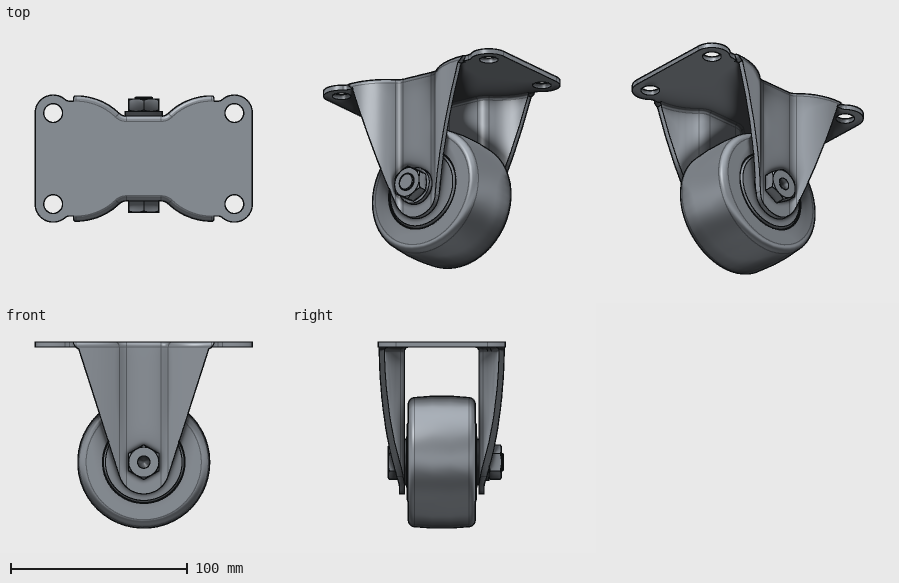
import cadquery as cq
import math


sheet = 3.0
plate_length = 123.0
plate_width = 72.0
corner_radius = 10.25
hole_x = plate_length / 2 - corner_radius
hole_y = plate_width / 2 - corner_radius
mount_hole_diameter = 10.5
notch_radius = 4.0

arm_inner_y = 21.0
arm_outer_y = arm_inner_y + sheet
flat_half_width = 9.85
wave_angle = math.radians(44)
valley_radius = 5.76
crest_x = 38.4
arm_end_x = 39.8
bend_inner_radius = 2.0
arm_tip_radius = 14.4
arm_tip_center_z = -71.6
taper_top_x = 36.8
taper_top_z = -4.0
flare_radius = 5.0

wheel_center_z = -68.0
wheel_radius = 37.5
crown_drop = 0.9
tread_half_width = 15.4
wheel_half_width = 19.0
side_face_radius = 32.6
shoulder_bulge = 1.05
groove_outer_radius = 23.4
groove_floor_radius = 22.9
groove_depth = 0.8
disc_radius = 21.7
disc_edge_y = 19.5
disc_hub_y = 19.85
hub_radius = 13.0

shank_diameter = 10.0
across_flats = 17.0
hex_chamfer_slope = math.tan(math.radians(30))
head_height = 6.4
washer_diameter = 21.0
washer_thickness = 2.7
nut_height = 7.1
thread_protrusion = 1.0
thread_chamfer = 0.5
center_hole_diameter = 7.0
center_hole_depth = 6.0
drill_half_angle = math.radians(59)


def rod(radius, start_y, end_y):
    """Cylinder on the axle line from start_y to end_y."""
    return (
        cq.Workplane("XZ", origin=(0, start_y, wheel_center_z))
        .circle(radius)
        .extrude(start_y - end_y)
    )


def wave_half(base_y, valley, crest):
    """Points of one half of the wavy arm line: flat end, valley middle, inflection, crest middle, crest."""
    sine = math.sin(wave_angle)
    cosine = math.cos(wave_angle)
    half_sine = math.sin(wave_angle / 2)
    half_cosine = math.cos(wave_angle / 2)
    crest_y = base_y + (valley + crest) * (1 - cosine)
    return [
        (flat_half_width, base_y),
        (flat_half_width + valley * half_sine, base_y + valley * (1 - half_cosine)),
        (flat_half_width + valley * sine, base_y + valley * (1 - cosine)),
        (crest_x - crest * half_sine, crest_y - crest * (1 - half_cosine)),
        (crest_x, crest_y),
    ]


outer_crest_radius = (crest_x - flat_half_width) / math.sin(wave_angle) - valley_radius
outer_wave = wave_half(arm_outer_y, valley_radius, outer_crest_radius)
inner_wave = wave_half(arm_inner_y, valley_radius + sheet, outer_crest_radius - sheet)


def mirror_x(point):
    return (-point[0], point[1])


def mirror_y(point):
    return (point[0], -point[1])


def draw_wave(sketch, wave):
    """Continue a sketch from the right-hand crest along the wave to the left-hand crest."""
    flat_end, valley_mid, inflection, crest_mid, crest = wave
    return (
        sketch.threePointArc(crest_mid, inflection)
        .threePointArc(valley_mid, flat_end)
        .lineTo(*mirror_x(flat_end))
        .threePointArc(mirror_x(valley_mid), mirror_x(inflection))
        .threePointArc(mirror_x(crest_mid), mirror_x(crest))
    )


def make_half_plate():
    """The +Y half of the mounting plate, ending at the start of the bend."""
    plate_end_x = plate_length / 2
    crest_y = inner_wave[-1][1]
    notch_y = crest_y + notch_radius
    center_distance = corner_radius + notch_radius
    notch_angle = math.asin((notch_y - hole_y) / center_distance)
    notch_x = hole_x - center_distance * math.cos(notch_angle)
    lobe_end = (
        hole_x - corner_radius * math.cos(notch_angle),
        hole_y + corner_radius * math.sin(notch_angle),
    )
    lobe_mid_angle = (math.pi - notch_angle) / 2
    lobe_mid = (
        hole_x + corner_radius * math.cos(lobe_mid_angle),
        hole_y + corner_radius * math.sin(lobe_mid_angle),
    )
    notch_mid_angle = (notch_angle + math.pi / 2) / 2
    notch_mid = (
        notch_x + notch_radius * math.cos(notch_mid_angle),
        notch_y - notch_radius * math.sin(notch_mid_angle),
    )
    notch_end = (notch_x, crest_y)
    sketch = (
        cq.Workplane("XY")
        .moveTo(-plate_end_x, 0)
        .lineTo(plate_end_x, 0)
        .lineTo(plate_end_x, hole_y)
        .threePointArc(lobe_mid, lobe_end)
        .threePointArc(notch_mid, notch_end)
        .lineTo(crest_x, crest_y)
    )
    return (
        draw_wave(sketch, inner_wave)
        .lineTo(*mirror_x(notch_end))
        .threePointArc(mirror_x(notch_mid), mirror_x(lobe_end))
        .threePointArc(mirror_x(lobe_mid), (-plate_end_x, hole_y))
        .close()
        .extrude(-sheet)
    )


def make_arm_blank():
    """Wavy upright wall of constant thickness, before its sides are tapered."""
    inner_crest = inner_wave[-1]
    outer_crest = outer_wave[-1]
    sketch = cq.Workplane("XY").moveTo(arm_end_x, outer_crest[1]).lineTo(*outer_crest)
    sketch = draw_wave(sketch, outer_wave)
    sketch = sketch.lineTo(-arm_end_x, outer_crest[1]).lineTo(-arm_end_x, inner_crest[1])
    flat_end, valley_mid, inflection, crest_mid, crest = inner_wave
    return (
        sketch.lineTo(*mirror_x(crest))
        .threePointArc(mirror_x(crest_mid), mirror_x(inflection))
        .threePointArc(mirror_x(valley_mid), mirror_x(flat_end))
        .lineTo(*flat_end)
        .threePointArc(valley_mid, inflection)
        .threePointArc(crest_mid, crest)
        .lineTo(arm_end_x, inner_crest[1])
        .close()
        .extrude(arm_tip_center_z - arm_tip_radius)
    )


def make_arm_envelope():
    """Tapered elevation of the arm: sides tangent to the round tip, with a rounded flare up to the plate."""
    rise = taper_top_z - arm_tip_center_z
    reach = math.hypot(taper_top_x, rise)
    tangent_angle = math.atan2(rise, taper_top_x) - math.acos(arm_tip_radius / reach)
    tangent = (
        arm_tip_radius * math.cos(tangent_angle),
        arm_tip_center_z + arm_tip_radius * math.sin(tangent_angle),
    )
    return (
        cq.Workplane("XZ")
        .moveTo(-arm_end_x, 0)
        .radiusArc((-taper_top_x, taper_top_z), -flare_radius)
        .lineTo(*mirror_x(tangent))
        .threePointArc((0, arm_tip_center_z - arm_tip_radius), tangent)
        .lineTo(taper_top_x, taper_top_z)
        .radiusArc((arm_end_x, 0), -flare_radius)
        .close()
        .extrude(-plate_width)
    )


def bend_zone(z):
    """Selector for the edges that follow the wavy arm line at one level."""
    margin = 0.1
    return cq.selectors.BoxSelector(
        (-arm_end_x + margin, arm_inner_y - margin, z - margin),
        (arm_end_x - margin, plate_width / 2 + margin, z + margin),
    )


def make_half_bracket():
    """The +Y half: plate and arm joined by a rounded bend, with the arm trimmed to its taper."""
    plate = make_half_plate()
    blank = plate.union(make_arm_blank())
    blank = blank.edges(bend_zone(0)).fillet(sheet)
    blank = blank.edges(bend_zone(-sheet)).fillet(bend_inner_radius)
    arm = blank.cut(plate).intersect(make_arm_envelope())
    return plate.union(arm)


def make_bracket():
    """Both halves joined, with the mounting holes and the axle holes."""
    half = make_half_bracket()
    bracket = half.union(half.mirror("XZ"))
    mount_holes = (
        cq.Workplane("XY")
        .rect(2 * hole_x, 2 * hole_y, forConstruction=True)
        .vertices()
        .circle(mount_hole_diameter / 2)
        .extrude(-sheet)
    )
    axle_holes = rod(shank_diameter / 2, -plate_width / 2, plate_width / 2)
    return bracket.cut(mount_holes).cut(axle_holes)


def make_wheel():
    """Crowned tread with rounded shoulders, dished sides and a hub that reaches the arms."""
    shoulder_radius = wheel_radius - crown_drop
    mid_offset = shoulder_bulge / math.sqrt(2)
    shoulder_mid = (
        (shoulder_radius + side_face_radius) / 2 + mid_offset,
        (tread_half_width + wheel_half_width) / 2 + mid_offset,
    )
    side = [
        (side_face_radius, wheel_half_width),
        (groove_outer_radius, wheel_half_width),
        (groove_outer_radius, wheel_half_width - groove_depth),
        (groove_floor_radius, wheel_half_width - groove_depth),
        (disc_radius, disc_edge_y),
        (hub_radius, disc_hub_y),
        (hub_radius, arm_inner_y),
        (shank_diameter / 2, arm_inner_y),
    ]
    shoulder = (shoulder_radius, tread_half_width)
    sketch = (
        cq.Workplane("XY")
        .moveTo(*mirror_y(side[0]))
        .threePointArc(mirror_y(shoulder_mid), mirror_y(shoulder))
        .threePointArc((wheel_radius, 0), shoulder)
        .threePointArc(shoulder_mid, side[0])
    )
    for point in side[1:]:
        sketch = sketch.lineTo(*point)
    for point in reversed(side[1:]):
        sketch = sketch.lineTo(*mirror_y(point))
    wheel = sketch.close().revolve(360, (0, 0, 0), (0, 1, 0))
    return wheel.translate((0, 0, wheel_center_z))


def hexagon(start_y, end_y):
    """Hexagonal prism on the axle line with two corners pointing up and down."""
    corner_diameter = across_flats / math.cos(math.pi / 6)
    return (
        cq.Workplane("XZ", origin=(0, start_y, wheel_center_z))
        .transformed(rotate=(0, 0, 90))
        .polygon(6, corner_diameter)
        .extrude(start_y - end_y)
    )


def corner_trim(end_y, direction):
    """Cone that trims the hexagon corners at the end facing the given Y direction."""
    flat_radius = across_flats / 2
    length = plate_width
    base_radius = flat_radius + length / hex_chamfer_slope
    return (
        cq.Workplane("XY")
        .moveTo(0, end_y)
        .lineTo(flat_radius, end_y)
        .lineTo(base_radius, end_y - direction * length)
        .lineTo(0, end_y - direction * length)
        .close()
        .revolve(360, (0, 0, 0), (0, 1, 0))
        .translate((0, 0, wheel_center_z))
    )


def make_axle():
    """Hex-headed bolt through the wheel, with the washer and nut on the +Y side."""
    head_end = -arm_outer_y - head_height
    nut_start = arm_outer_y + washer_thickness
    nut_end = nut_start + nut_height
    bolt_end = nut_end + thread_protrusion

    head = hexagon(head_end, -arm_outer_y).intersect(corner_trim(head_end, -1))
    nut = hexagon(nut_start, nut_end)
    nut = nut.intersect(corner_trim(nut_end, 1)).intersect(corner_trim(nut_start, -1))
    washer = rod(washer_diameter / 2, arm_outer_y, nut_start)
    shank = rod(shank_diameter / 2, head_end, bolt_end).faces(">Y").chamfer(thread_chamfer)

    hole_radius = center_hole_diameter / 2
    floor_y = head_end + center_hole_depth
    center_hole = (
        cq.Workplane("XY")
        .moveTo(0, head_end)
        .lineTo(hole_radius, head_end)
        .lineTo(hole_radius, floor_y)
        .lineTo(0, floor_y + hole_radius / math.tan(drill_half_angle))
        .close()
        .revolve(360, (0, 0, 0), (0, 1, 0))
        .translate((0, 0, wheel_center_z))
    )
    return shank.union(head).union(washer).union(nut).cut(center_hole)


bracket = make_bracket()
wheel = make_wheel()
axle = make_axle()

result = cq.Compound.makeCompound([bracket.val(), wheel.val(), axle.val()])